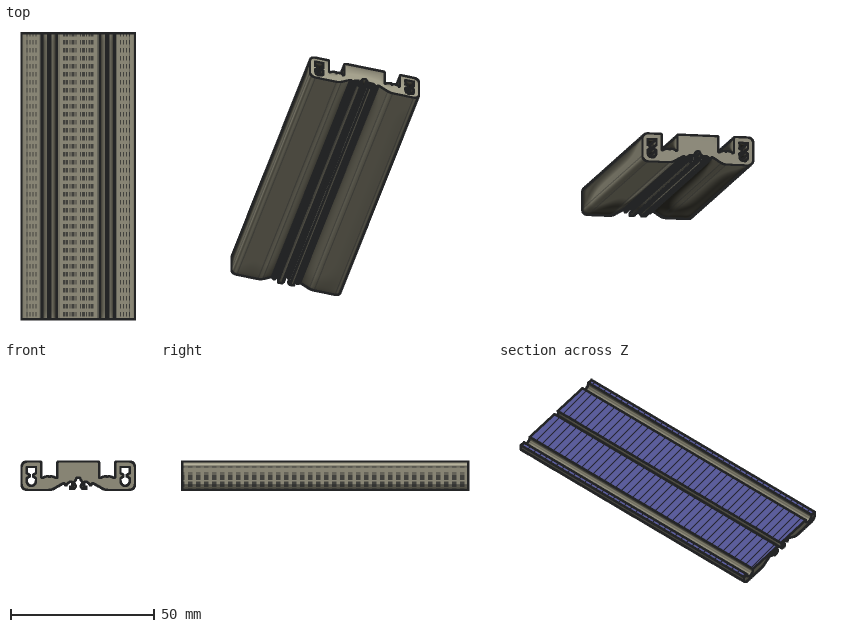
import cadquery as cq
import math

WIDTH = 39.7
LENGTH = 100.0
HEIGHT = 10.0
CORNER_RADIUS = 2.0
HALF_WIDTH = WIDTH / 2

SLOT_CENTER = 10.1
SLOT_WIDTH = 5.5
SLOT_EDGE_RADIUS = 0.6
SLOT_OUTER = SLOT_CENTER + SLOT_WIDTH / 2
SLOT_INNER = SLOT_CENTER - SLOT_WIDTH / 2

FLOOR_Z = 4.2
FLOOR_CORNER_RADIUS = 0.3
CROWN_RISE = 0.7
CROWN_HALF_WIDTH = SLOT_WIDTH / 2 - FLOOR_CORNER_RADIUS
CROWN_TOP_Z = FLOOR_Z + CROWN_RISE
GROOVE_WIDTH = 0.9
GROOVE_DEPTH = 0.4

CHANNEL_CENTER = 16.4
CHANNEL_HALF_WIDTH = 1.55
CHANNEL_TOP_Z = 8.0
CHANNEL_BOTTOM_Z = 1.5
WAIST_Z = 5.0
WAIST_HALF_WIDTH = 0.55
WAIST_HALF_HEIGHT = 0.2
WAIST_TAPER_HEIGHT = 0.75

SLOPE_ANGLE = math.radians(30)
SLOPE_FOOT_X = 9.25
FOOT_RADIUS = 3.5
SLOPE_END_X = 5.1

RIB_CENTER = 4.3
RIB_TIP_RADIUS = 0.25
RIB_TIP_CENTER_Z = 1.75
RIB_ROOT_Z = 2.3
RIB_ROOT_HALF_WIDTH = 0.6

LIP_ROOF_X = 2.9
LIP_ROOF_Z = 2.8
LIP_STEM_OUTER = 2.2
LIP_STEM_Z = 2.0
LIP_STEM_WAIST = 1.9
LIP_TOE_X = 2.95
LIP_TOE_TOP_Z = 1.2
LIP_BOTTOM_Z = 0.3
LIP_TOE_RADIUS = 0.4
LIP_THROAT_X = 0.75
LIP_THROAT_Z = 1.3
LIP_INNER_X = 1.45
UNDERCUT_WIDE_X = 1.5
UNDERCUT_WIDE_Z = 2.7
UNDERCUT_TOP_Z = 4.35
UNDERCUT_TOP_RADIUS = 0.75


def extrude_outline(sketch):
    """Extrude an outline in the XZ plane over the full length, centred on Y."""
    return sketch.close().extrude(LENGTH / 2, both=True)


def mirrored_pair(solid):
    """Join a solid with its mirror image across the YZ plane."""
    return solid.union(solid.mirror("YZ"))


def half_body():
    """Right half of the profile, without the slot crown or rail channel."""
    undercut_shoulder_z = UNDERCUT_TOP_Z - UNDERCUT_TOP_RADIUS
    arc_offset = UNDERCUT_TOP_RADIUS * math.sqrt(0.5)
    foot_tangent = FOOT_RADIUS * math.tan(SLOPE_ANGLE / 2)
    foot_end_x = SLOPE_FOOT_X - foot_tangent * math.cos(SLOPE_ANGLE)
    foot_end_z = foot_tangent * math.sin(SLOPE_ANGLE)
    slope_end_z = (SLOPE_FOOT_X - SLOPE_END_X) * math.tan(SLOPE_ANGLE)
    rib_tip_inner = (RIB_CENTER - RIB_TIP_RADIUS, RIB_TIP_CENTER_Z)
    rib_tip_bottom = (RIB_CENTER, RIB_TIP_CENTER_Z - RIB_TIP_RADIUS)
    outline = (
        cq.Workplane("XZ")
        .moveTo(0, HEIGHT)
        .lineTo(SLOT_INNER - SLOT_EDGE_RADIUS, HEIGHT)
        .tangentArcPoint((SLOT_EDGE_RADIUS, -SLOT_EDGE_RADIUS))
        .lineTo(SLOT_INNER, FLOOR_Z + FLOOR_CORNER_RADIUS)
        .tangentArcPoint((FLOOR_CORNER_RADIUS, -FLOOR_CORNER_RADIUS))
        .lineTo(SLOT_OUTER - FLOOR_CORNER_RADIUS, FLOOR_Z)
        .tangentArcPoint((FLOOR_CORNER_RADIUS, FLOOR_CORNER_RADIUS))
        .lineTo(SLOT_OUTER, HEIGHT - SLOT_EDGE_RADIUS)
        .tangentArcPoint((SLOT_EDGE_RADIUS, SLOT_EDGE_RADIUS))
        .lineTo(HALF_WIDTH - CORNER_RADIUS, HEIGHT)
        .tangentArcPoint((CORNER_RADIUS, -CORNER_RADIUS))
        .lineTo(HALF_WIDTH, CORNER_RADIUS)
        .tangentArcPoint((-CORNER_RADIUS, -CORNER_RADIUS))
        .lineTo(SLOPE_FOOT_X + foot_tangent, 0)
        .tangentArcPoint((foot_end_x, foot_end_z), relative=False)
        .lineTo(SLOPE_END_X, slope_end_z)
        .lineTo(RIB_CENTER + RIB_ROOT_HALF_WIDTH, RIB_ROOT_Z)
        .lineTo(RIB_CENTER + RIB_TIP_RADIUS, RIB_TIP_CENTER_Z)
        .threePointArc(rib_tip_bottom, rib_tip_inner)
        .lineTo(RIB_CENTER - RIB_ROOT_HALF_WIDTH, RIB_ROOT_Z)
        .lineTo(LIP_ROOF_X, LIP_ROOF_Z)
        .lineTo(LIP_STEM_OUTER, LIP_ROOF_Z)
        .lineTo(LIP_STEM_OUTER, LIP_STEM_Z)
        .lineTo(LIP_STEM_WAIST, LIP_TOE_TOP_Z)
        .lineTo(LIP_TOE_X, LIP_TOE_TOP_Z)
        .lineTo(LIP_TOE_X, LIP_BOTTOM_Z + LIP_TOE_RADIUS)
        .tangentArcPoint((-LIP_TOE_RADIUS, -LIP_TOE_RADIUS))
        .lineTo(LIP_INNER_X, LIP_BOTTOM_Z)
        .lineTo(LIP_THROAT_X, LIP_THROAT_Z)
        .lineTo(UNDERCUT_WIDE_X, UNDERCUT_WIDE_Z)
        .lineTo(UNDERCUT_TOP_RADIUS, undercut_shoulder_z)
        .threePointArc((arc_offset, undercut_shoulder_z + arc_offset), (0, UNDERCUT_TOP_Z))
    )
    return extrude_outline(outline)


def slot_crown():
    """Convex crown on the slot floor, split by a V groove."""
    groove_half = GROOVE_WIDTH / 2
    crown = extrude_outline(
        cq.Workplane("XZ")
        .moveTo(SLOT_CENTER - CROWN_HALF_WIDTH, FLOOR_Z)
        .threePointArc((SLOT_CENTER, CROWN_TOP_Z), (SLOT_CENTER + CROWN_HALF_WIDTH, FLOOR_Z))
    )
    groove = extrude_outline(
        cq.Workplane("XZ")
        .moveTo(SLOT_CENTER - groove_half, CROWN_TOP_Z)
        .lineTo(SLOT_CENTER, CROWN_TOP_Z - GROOVE_DEPTH)
        .lineTo(SLOT_CENTER + groove_half, CROWN_TOP_Z)
    )
    return crown.cut(groove)


def rail_channel():
    """Cutter for the necked channel that runs through a side rail."""
    left = CHANNEL_CENTER - CHANNEL_HALF_WIDTH
    right = CHANNEL_CENTER + CHANNEL_HALF_WIDTH
    waist_left = CHANNEL_CENTER - WAIST_HALF_WIDTH
    waist_right = CHANNEL_CENTER + WAIST_HALF_WIDTH
    waist_top_z = WAIST_Z + WAIST_HALF_HEIGHT
    waist_bottom_z = WAIST_Z - WAIST_HALF_HEIGHT
    round_z = CHANNEL_BOTTOM_Z + CHANNEL_HALF_WIDTH
    outline = (
        cq.Workplane("XZ")
        .moveTo(left, CHANNEL_TOP_Z)
        .lineTo(right, CHANNEL_TOP_Z)
        .lineTo(right, waist_top_z + WAIST_TAPER_HEIGHT)
        .lineTo(waist_right, waist_top_z)
        .lineTo(waist_right, waist_bottom_z)
        .lineTo(right, waist_bottom_z - WAIST_TAPER_HEIGHT)
        .lineTo(right, round_z)
        .threePointArc((CHANNEL_CENTER, CHANNEL_BOTTOM_Z), (left, round_z))
        .lineTo(left, waist_bottom_z - WAIST_TAPER_HEIGHT)
        .lineTo(waist_left, waist_bottom_z)
        .lineTo(waist_left, waist_top_z)
        .lineTo(left, waist_top_z + WAIST_TAPER_HEIGHT)
    )
    return extrude_outline(outline)


half_profile = half_body().union(slot_crown()).cut(rail_channel())
result = mirrored_pair(half_profile).clean()